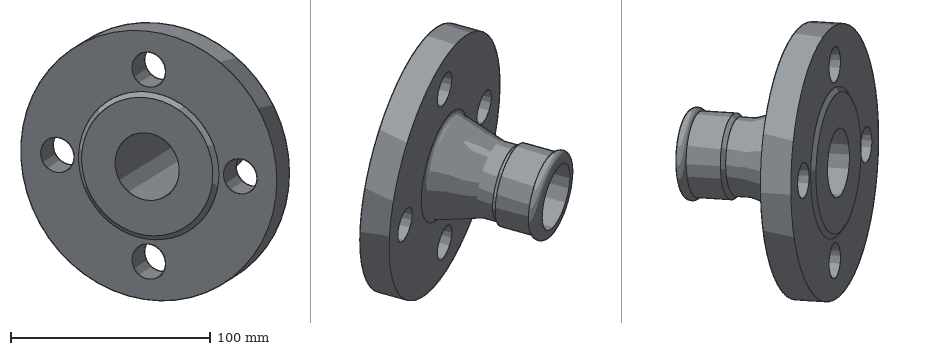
import cadquery as cq

raised_face_height = 2.0
flange_thickness = 16.1
flange_back = raised_face_height + flange_thickness
cone_start = 20.6
cone_end = 44.5
shoulder_start = 52.9
shoulder_end = 55.2
bead_start = 73.2
bead_crest = 75.6
total_length = 79.0

flange_radius = 70.0
face_radius = 35.8
face_base_radius = 38.4
hub_foot_radius = 29.5
hub_fillet_mid_radius = 28.0
hub_fillet_mid_station = 19.0
cone_base_radius = 27.3
neck_radius = 20.0
socket_radius = 21.8
bead_radius = 23.5
end_radius = 20.6
bore_radius = 17.5

bolt_count = 4
bolt_hole_diameter = 18.2
bolt_circle_radius = 50.0


def revolved_body():
    """Flange, tapered hub and beaded pipe end, revolved about Y around the bore."""
    profile = (
        cq.Workplane("XY")
        .moveTo(bore_radius, 0)
        .lineTo(face_radius, 0)
        .lineTo(face_base_radius, raised_face_height)
        .lineTo(flange_radius, raised_face_height)
        .lineTo(flange_radius, flange_back)
        .lineTo(hub_foot_radius, flange_back)
        .threePointArc(
            (hub_fillet_mid_radius, hub_fillet_mid_station),
            (cone_base_radius, cone_start),
        )
        .lineTo(neck_radius, cone_end)
        .lineTo(neck_radius, shoulder_start)
        .lineTo(socket_radius, shoulder_end)
        .lineTo(socket_radius, bead_start)
        .threePointArc((bead_radius, bead_crest), (end_radius, total_length))
        .lineTo(bore_radius, total_length)
        .close()
    )
    return profile.revolve(360, (0, 0, 0), (0, 1, 0))


def bolt_holes():
    """Cylinders through the flange, evenly spaced on the bolt circle."""
    return (
        cq.Workplane("XZ")
        .polarArray(bolt_circle_radius, 0, 360, bolt_count)
        .circle(bolt_hole_diameter / 2)
        .extrude(-flange_back)
    )


result = revolved_body().cut(bolt_holes())